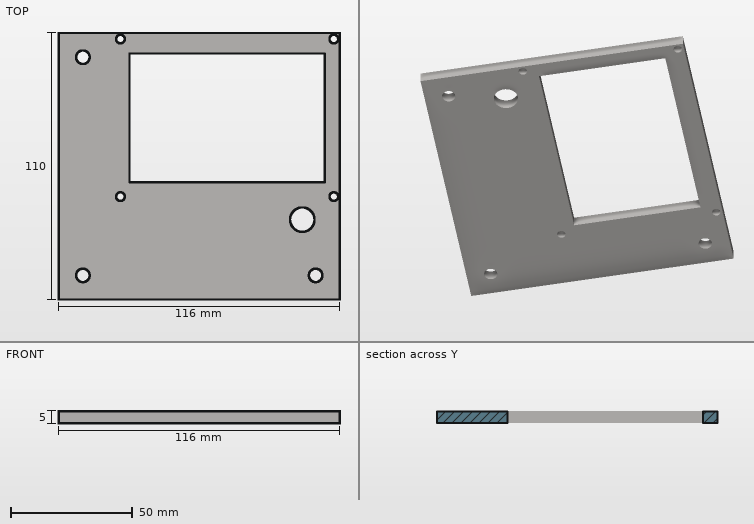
import cadquery as cq

plate_length = 116.0
plate_width = 110.0
plate_thickness = 5.0

corner_hole_diameter = 5.5
corner_hole_inset = 10.0

display_hole_diameter = 3.5
display_hole_inset = 2.5
display_hole_spacing_x = 88.0
display_hole_spacing_y = 65.0

window_length = 80.5
window_width = 53.0

large_hole_diameter = 10.0
large_hole_x = 100.5
large_hole_y = 33.0

corner_left = corner_hole_inset
corner_right = plate_length - corner_hole_inset
corner_bottom = corner_hole_inset
corner_top = plate_width - corner_hole_inset
corner_hole_places = [
    (corner_left, corner_bottom),
    (corner_right, corner_bottom),
    (corner_left, corner_top),
]

display_x = plate_length - display_hole_inset - display_hole_spacing_x / 2
display_y = plate_width - display_hole_inset - display_hole_spacing_y / 2
display_hole_places = [
    (display_x + side_x * display_hole_spacing_x / 2, display_y + side_y * display_hole_spacing_y / 2)
    for side_x in (-1, 1)
    for side_y in (-1, 1)
]


def make_plate():
    return cq.Workplane("XY").box(plate_length, plate_width, plate_thickness, centered=False)


def through_holes(places, diameter):
    """Cylinders that cut round holes through the full plate thickness."""
    return cq.Workplane("XY").pushPoints(places).circle(diameter / 2).extrude(plate_thickness)


def display_window():
    """Block that cuts the rectangular opening through the plate."""
    return (
        cq.Workplane("XY")
        .center(display_x, display_y)
        .rect(window_length, window_width)
        .extrude(plate_thickness)
    )


result = (
    make_plate()
    .cut(display_window())
    .cut(through_holes(corner_hole_places, corner_hole_diameter))
    .cut(through_holes(display_hole_places, display_hole_diameter))
    .cut(through_holes([(large_hole_x, large_hole_y)], large_hole_diameter))
)